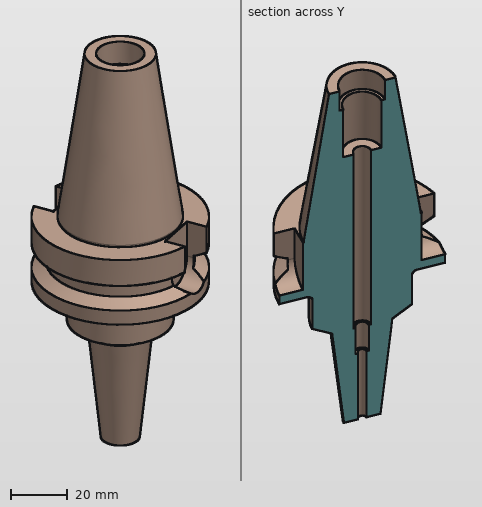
import cadquery as cq

total_height = 155.4

taper_length = 65.5
taper_large_radius = 22.2
taper_half_slope = 7 / 48
taper_small_radius = taper_large_radius - taper_length * taper_half_slope
taper_base_z = total_height - taper_length

flange_top_z = 89.2
flange_bottom_z = 63.0
flange_radius = 31.47
groove_floor_radius = 26.4
groove_top_z = 78.6
groove_bottom_z = 68.7
groove_flank_height = 2.8

neck_radius = 19.0
neck_bottom_z = 47.5
neck_flare = 1.2

nose_top_z = 43.0
nose_top_radius = 11.5
nose_tip_radius = 7.0

mouth_radius = 8.5
mouth_depth = 9.0
thread_radius = 7.1
thread_depth = 31.1
coolant_radius = 3.3
coolant_end_z = 43.0
stop_radius = 2.5
stop_end_z = 31.1
through_radius = 1.5

slot_width = 16.2
slot_depth_z = 22.0
slot_floor_x = 22.5


def make_body():
    """Revolve the outer profile about the Z axis."""
    profile = [
        (0, 0),
        (nose_tip_radius, 0),
        (nose_top_radius, nose_top_z),
        (neck_radius, neck_bottom_z),
        (neck_radius, flange_bottom_z - neck_flare),
        (neck_radius + neck_flare, flange_bottom_z),
        (flange_radius, flange_bottom_z),
        (flange_radius, groove_bottom_z),
        (groove_floor_radius, groove_bottom_z + groove_flank_height),
        (groove_floor_radius, groove_top_z - groove_flank_height),
        (flange_radius, groove_top_z),
        (flange_radius, flange_top_z),
        (taper_large_radius, flange_top_z),
        (taper_large_radius, taper_base_z),
        (taper_small_radius, total_height),
        (0, total_height),
    ]
    return cq.Workplane("XZ").polyline(profile).close().revolve(360, (0, 0, 0), (0, 1, 0))


def make_bore_step(radius, bottom_z):
    """Cylinder on the axis, from bottom_z up to the top of the shank."""
    return cq.Workplane("XY").workplane(offset=bottom_z).circle(radius).extrude(total_height - bottom_z)


def make_drive_slot(side):
    """Flat-floored slot, open at the flange top and round at its lower end."""
    half_width = slot_width / 2
    slot_bottom_z = flange_top_z - slot_depth_z
    arc_start_z = slot_bottom_z + half_width
    return (
        cq.Workplane("YZ", origin=(side * slot_floor_x, 0, 0))
        .moveTo(-half_width, flange_top_z)
        .lineTo(-half_width, arc_start_z)
        .threePointArc((0, slot_bottom_z), (half_width, arc_start_z))
        .lineTo(half_width, flange_top_z)
        .close()
        .extrude(side * (flange_radius - slot_floor_x))
    )


result = make_body()

bore_steps = [
    (mouth_radius, total_height - mouth_depth),
    (thread_radius, total_height - thread_depth),
    (coolant_radius, coolant_end_z),
    (stop_radius, stop_end_z),
    (through_radius, 0),
]
for step_radius, step_bottom_z in bore_steps:
    result = result.cut(make_bore_step(step_radius, step_bottom_z))

for slot_side in (-1, 1):
    result = result.cut(make_drive_slot(slot_side))